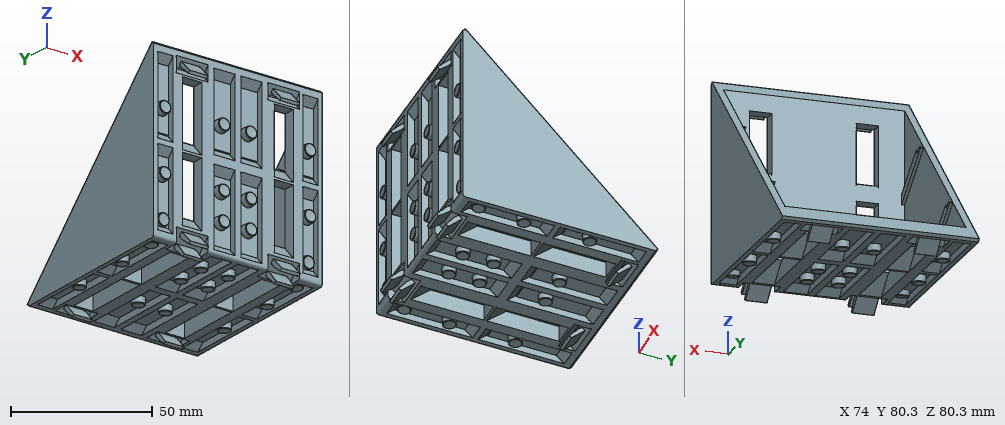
import cadquery as cq

width = 74.0
leg = 76.0
tip_chamfer = 1.0
corner_radius = 1.1

side_wall = 3.0
front_thickness = 4.9
floor_thickness = 6.8
corner_fillet = 2.9

pocket_depth = 2.7
end_slope = 1.13
outer_column = 31.8
outer_pocket_width = 6.6
inner_column = 5.95
inner_pocket_width = 9.1
upper_pocket = (38.7, 72.3)
outer_lower_pocket = (3.1, 36.6)
inner_lower_pocket = (1.9, 35.1)
groove_width = 0.65
groove_depth = 0.25

pin_base_diameter = 5.4
pin_top_diameter = 5.0
pin_bevel = 0.25
pin_dish = 0.2
pin_root_depth = 0.8
pin_upper = 51.7
pin_middle = 26.1
outer_pin_lower = 8.75
inner_pin_lower = 14.1
low_pin_setback = 0.9
low_pin_tilt = 8

hook_column = 20.1
window_width = 8.35
windows = [(7.6, 36.1), (37.0, 65.3)]
recess_width = 13.8
upper_recess = (66.1, 72.85)
corner_recess = 6.35
hook_width = 8.1
upper_hook = (70.6, 2.4, 3.9)
lower_hook = (4.7, 2.7, 4.3)
hook_root_inset = 2.7
hook_tip_back = 0.7
hook_tip_drop = 1.0
hook_slope = 1.05

arm_width = 1.2
arm_rise = 0.73
arm_length = 32.1
arm_tip_radius = 1.6
arm_neck = 1.8
arm_shoulder = 1.45
arm_tips = [(56.2, 20.6), (25.1, 51.4)]


def prism(points, x_center, x_width):
    """Extrude a closed outline of (y, z) points along X."""
    return (cq.Workplane("YZ").polyline(points).close()
            .extrude(x_width / 2, both=True).translate((x_center, 0, 0)))


def to_floor(shape):
    """Swap Y and Z, carrying a front plate feature over to the floor plate."""
    return shape.mirror("XZ").rotate((0, 0, 0), (1, 0, 0), -90)


def wedge():
    """Solid triangular body before it is hollowed out."""
    c = tip_chamfer
    outline = [(0, 0), (leg - c, 0), (leg, c), (c, leg), (0, leg - c)]
    corner = cq.selectors.NearestToPointSelector((0, 0, 0))
    return prism(outline, 0, width).edges(corner).fillet(corner_radius)


def cavity():
    """Triangular hollow between the plates and the side walls."""
    y0, z0 = front_thickness, floor_thickness
    outline = [(y0, z0), (y0 + leg, z0), (y0, z0 + leg)]
    block = prism(outline, 0, width - 2 * side_wall)
    corner = cq.selectors.NearestToPointSelector((0, y0, z0))
    return block.edges(corner).fillet(corner_fillet)


def pocket(x, span, x_width):
    """Blind pocket narrowing towards its floor at both ends."""
    low, high = span
    run = end_slope * pocket_depth
    outline = [(0, low), (pocket_depth, low + run), (pocket_depth, high - run), (0, high)]
    return prism(outline, x, x_width)


def window(x, span, thickness):
    """Through opening whose lower end slopes and whose other sides are square."""
    low, high = span
    run = end_slope * thickness
    outline = [(0, low), (thickness, low + run), (thickness, high), (0, high)]
    return prism(outline, x, window_width)


def floor_groove(x, span, x_width):
    """Groove in a pocket floor, following on from the slope at the pocket's low end."""
    low = span[0] + end_slope * pocket_depth
    bottom = pocket_depth + groove_depth
    outline = [(0, low), (pocket_depth, low), (bottom, low + end_slope * groove_depth),
               (bottom, low + groove_width), (0, low + groove_width)]
    return prism(outline, x, x_width)


def corner_cut(x):
    """Triangle taken off the edge where the plates meet, making room for the lower hooks."""
    return prism([(0, 0), (corner_recess, 0), (0, corner_recess)], x, recess_width)


def pin(x, z, setback=0, tilt=0):
    """Drafted pin with a bevelled, dished tip; a tilted pin swings down about its root."""
    base_radius = pin_base_diameter / 2
    top_radius = pin_top_diameter / 2
    tip_radius = top_radius - pin_bevel
    root = pocket_depth + pin_root_depth
    profile = (cq.Workplane("XY").moveTo(0, setback + pin_dish)
               .threePointArc((tip_radius / 2, setback + 0.75 * pin_dish), (tip_radius, setback))
               .lineTo(top_radius, setback + pin_bevel)
               .lineTo(base_radius, pocket_depth)
               .lineTo(base_radius, root).lineTo(0, root).close())
    solid = profile.revolve(360, (0, 0, 0), (0, 1, 0))
    return solid.rotate((0, root, 0), (1, root, 0), tilt).translate((x, 0, z))


def hook(x, root, thickness, reach):
    """Tab leaning down and outwards from height root on the plate face."""
    inset = hook_root_inset
    rise = hook_slope * inset
    drop = hook_slope * reach
    outline = [(inset, root + rise), (-reach, root - drop),
               (hook_tip_back - reach, root - drop - hook_tip_drop),
               (0, root - thickness), (inset, root - thickness + inset)]
    return prism(outline, x, hook_width)


def snap_arm(x, tip):
    """Stepped arm drawn in its own frame: u along the axis to the tip, v across it."""
    norm = (1 + arm_rise ** 2) ** 0.5
    plane = cq.Plane(origin=(x - arm_width / 2, *tip),
                     xDir=(0, 1 / norm, arm_rise / norm), normal=(1, 0, 0))
    r = arm_tip_radius
    bend = r * 0.5 ** 0.5
    shoulder_u = -r - arm_neck
    shoulder_v = r + arm_shoulder
    return (cq.Workplane(plane).moveTo(0, 0)
            .threePointArc((bend - r, bend), (-r, r))
            .lineTo(shoulder_u, r)
            .lineTo(shoulder_u, shoulder_v)
            .lineTo(-arm_length, shoulder_v)
            .lineTo(-arm_length, 0).close()
            .extrude(arm_width))


body = wedge().cut(cavity())

arm_x = width / 2 - side_wall - arm_width / 2
for side in (-1, 1):
    for tip in arm_tips:
        body = body.union(snap_arm(side * arm_x, tip).intersect(wedge()))

cuts = []
studs = []
for side in (-1, 1):
    outer = side * outer_column
    inner = side * inner_column
    column = side * hook_column
    cuts += [pocket(outer, upper_pocket, outer_pocket_width),
             pocket(outer, outer_lower_pocket, outer_pocket_width),
             pocket(inner, upper_pocket, inner_pocket_width),
             floor_groove(outer, upper_pocket, outer_pocket_width),
             floor_groove(inner, upper_pocket, inner_pocket_width),
             pocket(inner, inner_lower_pocket, inner_pocket_width),
             pocket(column, upper_recess, recess_width),
             corner_cut(column)]
    studs += [pin(outer, pin_upper), pin(outer, pin_middle),
              pin(outer, outer_pin_lower, low_pin_setback, low_pin_tilt),
              pin(inner, pin_upper), pin(inner, pin_middle), pin(inner, inner_pin_lower),
              hook(column, *upper_hook), hook(column, *lower_hook)]
    for span in windows:
        body = body.cut(window(column, span, front_thickness))
        body = body.cut(to_floor(window(column, span, floor_thickness)))

for shape in cuts:
    body = body.cut(shape).cut(to_floor(shape))
for shape in studs:
    body = body.union(shape).union(to_floor(shape))

result = body